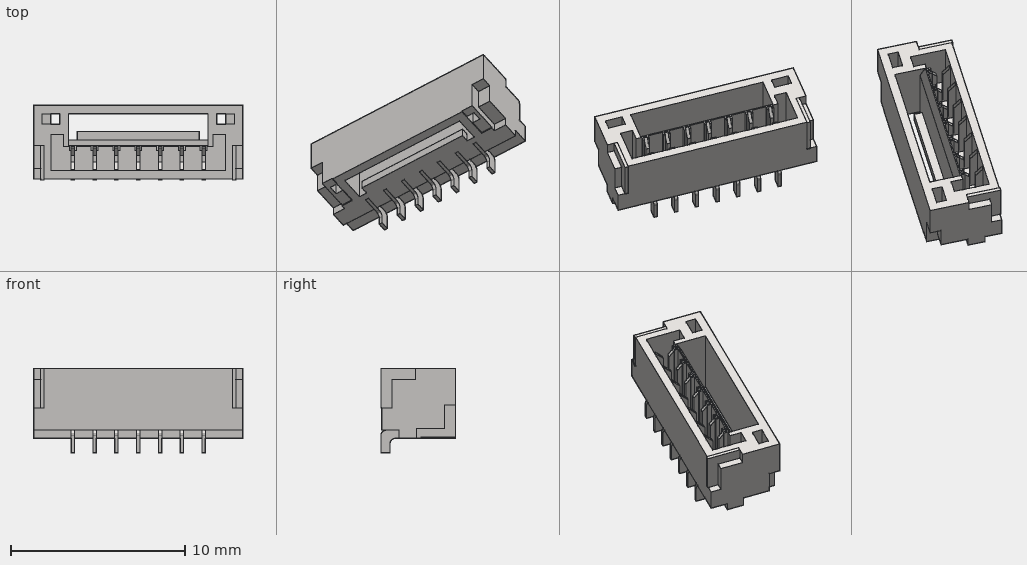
import cadquery as cq


housing_length = 12.0
housing_depth = 4.25
housing_height = 4.02
front_overhang = 4.3 - housing_depth

rear_wall = 0.5
cavity_length = 7.99
cavity_front = 1.95
lead_in_depth = 0.31
lead_in_height = 0.56
partition = 0.07
shelf_length = 7.01
shelf_depth = 0.48
shelf_height = 0.56

slot_front = 0.49
slot_back = cavity_front - partition
slot_length = 10.01
slot_floor = 1.0
ear_length = 0.72
ear_back = 2.55

pocket_length = 1.01
pocket_outer = 5.52
pocket_width = 0.59
pocket_floor = 2.4

front_step_height = 0.47
front_step_depth = 1.0
rear_notch_length = 0.78
rear_notch_width = 2.25
rear_notch_low = 0.56
rear_notch_slim_width = 0.65
rear_notch_high = 1.91
relief_height = 0.07

plate_thickness = 0.19
plate_inset = 0.41
plate_back = 1.95
plate_arm_height = 0.65
plate_arm_width = 0.6
plate_height = 2.27

pin_count = 7
pin_span = 7.5
pin_pitch = pin_span / (pin_count - 1)
pin_width = 0.2
pin_tip = 0.07
prong_depth = 0.45
prong_slope_height = 0.49
pin_valley_width = 0.36
pin_valley_height = 1.2
pin_leg_thickness = 0.54
pin_leg_length = 4.85 - housing_height
pin_bend_radius = 0.3

rib_width = 0.4
rib_depth = 0.23

pin_places = [(i - (pin_count - 1) / 2) * pin_pitch for i in range(pin_count)]


def block(x_min, x_max, y_min, y_max, z_min, z_max):
    """Box between two opposite corners."""
    size = (x_max - x_min, y_max - y_min, z_max - z_min)
    return cq.Workplane("XY").box(*size, centered=False).translate((x_min, y_min, z_min))


def centred_block(length, y_min, y_max, z_min, z_max, x=0.0):
    """Box of the given length with its middle at x."""
    return block(x - length / 2, x + length / 2, y_min, y_max, z_min, z_max)


def side_profile(points, x_min, x_max):
    """Solid with a straight-sided (Y, Z) outline between two X planes."""
    return cq.Workplane("YZ").polyline(points).close().extrude(x_max - x_min).translate((x_min, 0, 0))


def both_ends(shape):
    """The shape and its mirror image at the other end of the housing."""
    return shape.union(shape.mirror("YZ"))


def cavity():
    """Rear opening: upright back wall, sloping lead-in at the top of the front wall."""
    back = housing_depth - rear_wall
    lower_front = cavity_front + lead_in_depth
    outline = [
        (back, 0),
        (back, housing_height),
        (cavity_front, housing_height),
        (lower_front, housing_height - lead_in_height),
        (lower_front, 0),
    ]
    return side_profile(outline, -cavity_length / 2, cavity_length / 2)


def shelf():
    """Ledge at the foot of the cavity's front wall."""
    front = cavity_front + lead_in_depth
    return centred_block(shelf_length, front, front + shelf_depth, 0, shelf_height)


def contact_slot():
    """Slot for the mating plug, with an ear reaching back at each end."""
    main = centred_block(slot_length, slot_front, slot_back, slot_floor, housing_height)
    end = -slot_length / 2
    ear = block(end, end + ear_length, slot_front, ear_back, slot_floor, housing_height)
    return main.union(both_ends(ear))


def corner_pockets():
    """Pockets with a floor in the outer half and a through hole in the inner half."""
    back = housing_depth - rear_wall
    front = back - pocket_width
    inner = pocket_length - pocket_outer
    upper = block(-pocket_outer, inner, front, back, pocket_floor, housing_height)
    through = block(-slot_length / 2, inner, front, back, 0, housing_height)
    return both_ends(upper.union(through))


def front_step():
    """Step along the lower front edge that leaves room for the pin bends."""
    return centred_block(housing_length, 0, front_step_depth, 0, front_step_height)


def rear_notches():
    """L-shaped notches at the lower rear corners."""
    front = housing_depth - rear_notch_width
    slim_front = housing_depth - rear_notch_slim_width
    outline = [
        (front, 0),
        (housing_depth, 0),
        (housing_depth, rear_notch_high),
        (slim_front, rear_notch_high),
        (slim_front, rear_notch_low),
        (front, rear_notch_low),
    ]
    end = -housing_length / 2
    return both_ends(side_profile(outline, end, end + rear_notch_length))


def underside_relief():
    """Shallow relief under the rear half of each end, as far as the pocket's inner wall."""
    front = cavity_front + lead_in_depth
    inner = pocket_length - pocket_outer
    return both_ends(block(-housing_length / 2, inner, front, housing_depth, 0, relief_height))


def plate_shape(x_min, x_max):
    """Inverted L that follows the top and the front edge of the housing end."""
    bottom = housing_height - plate_height
    arm_bottom = housing_height - plate_arm_height
    outline = [
        (-front_overhang, bottom),
        (plate_arm_width, bottom),
        (plate_arm_width, arm_bottom),
        (plate_back, arm_bottom),
        (plate_back, housing_height),
        (-front_overhang, housing_height),
    ]
    return side_profile(outline, x_min, x_max)


def end_plate():
    """Plate at the -X end."""
    outer_face = -housing_length / 2 + plate_inset
    return plate_shape(outer_face, outer_face + plate_thickness)


def plate_recesses():
    """Recesses from the housing ends to the inner faces of the plates."""
    end = -housing_length / 2
    return both_ends(plate_shape(end, end + plate_inset + plate_thickness))


def pin(x):
    """Forked contact with a foot that runs forward and bends down."""
    top = housing_height
    slope_bottom = top - prong_slope_height
    rear_prong_front = slot_back - pin_tip - prong_depth
    front_prong_back = rear_prong_front - pin_valley_width
    front_prong_tip = front_prong_back - prong_depth
    leg_front = -front_overhang
    leg_back = leg_front + pin_leg_thickness
    profile = (
        cq.Workplane("YZ")
        .moveTo(slot_back, 0)
        .lineTo(slot_back, top)
        .lineTo(slot_back - pin_tip, top)
        .lineTo(rear_prong_front, slope_bottom)
        .lineTo(rear_prong_front, pin_valley_height)
        .lineTo(front_prong_back, pin_valley_height)
        .lineTo(front_prong_back, slope_bottom)
        .lineTo(front_prong_tip, top)
        .lineTo(front_prong_tip, front_step_height)
        .lineTo(leg_front + pin_bend_radius, front_step_height)
        .radiusArc((leg_front, front_step_height - pin_bend_radius), -pin_bend_radius)
        .lineTo(leg_front, -pin_leg_length)
        .lineTo(leg_back, -pin_leg_length)
        .lineTo(leg_back, -pin_bend_radius)
        .radiusArc((leg_back + pin_bend_radius, 0), pin_bend_radius)
        .close()
    )
    return profile.extrude(pin_width).translate((x - pin_width / 2, 0, 0))


def rib(x):
    """Rib on the slot's rear wall, behind and beside one pin."""
    return centred_block(rib_width, slot_back - rib_depth, slot_back, slot_floor, housing_height, x)


def rib_groove(x):
    """Opening in the rib above the slot floor for one pin."""
    return centred_block(pin_width, slot_back - rib_depth, slot_back, slot_floor, housing_height, x)


def housing(pins):
    """Moulded housing with a matching hole for each pin."""
    body = centred_block(housing_length, 0, housing_depth, 0, housing_height)
    body = body.cut(cavity()).union(shelf())
    body = body.cut(contact_slot())
    for x in pin_places:
        body = body.union(rib(x)).cut(rib_groove(x))
    body = body.cut(corner_pockets()).cut(front_step())
    body = body.cut(rear_notches()).cut(underside_relief())
    body = body.cut(plate_recesses())
    for each_pin in pins:
        body = body.cut(each_pin)
    return body


pins = [pin(x) for x in pin_places]
left_plate = end_plate()
plates = [left_plate, left_plate.mirror("YZ")]
connector_housing = housing(pins)

result = cq.Compound.makeCompound(
    [connector_housing.val(), *[plate.val() for plate in plates], *[each_pin.val() for each_pin in pins]]
)